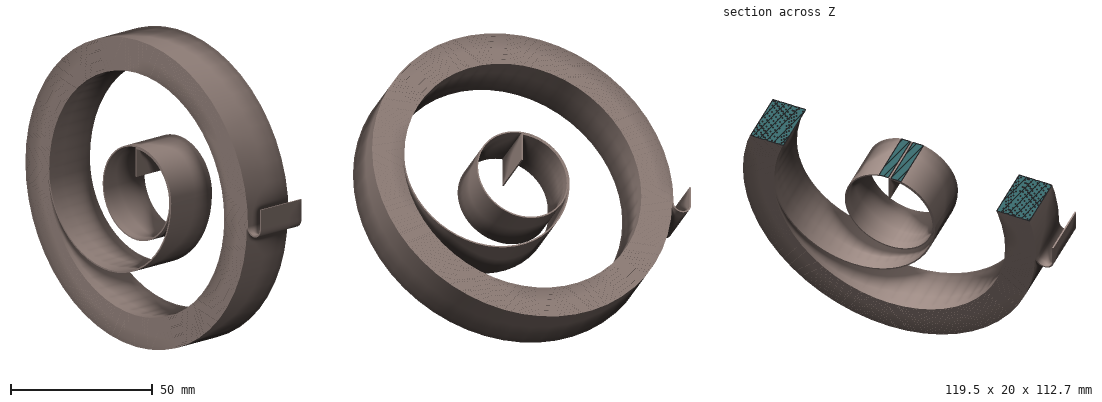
import cadquery as cq
import math


STRIP_WIDTH = 20.0
TURN_PITCH = 0.55
TURN_CLEARANCE = 0.01
STRIP_THICKNESS = TURN_PITCH - TURN_CLEARANCE

OVERALL_LENGTH = 119.5
COIL_HEIGHT = 112.7

RING_START_RADIUS = 16.7
TANG_LENGTH = 10.8

COIL_TURNS = 22

HOOK_LEG_LENGTH = 7.2

LEFT, DOWN, RIGHT, UP = math.pi, -math.pi / 2, 0.0, math.pi / 2

half_thickness = STRIP_THICKNESS / 2
half_pitch = TURN_PITCH / 2
coil_outer_radius = (COIL_HEIGHT + half_pitch) / 2
coil_last_radius = coil_outer_radius - half_thickness
coil_first_radius = coil_last_radius - (COIL_TURNS - 1) * TURN_PITCH
hook_radius = (OVERALL_LENGTH - 2 * coil_outer_radius) / 2


def arc(center_x, center_z, radius, start, end):
    """A centreline arc from angle start to angle end; it runs clockwise when end < start."""
    return {"center": (center_x, center_z), "radius": radius, "angles": (start, (start + end) / 2, end)}


def clockwise(center_x, center_z, radius, start, sweep):
    return arc(center_x, center_z, radius, start, start - sweep)


def ring_arcs():
    """The ring: a right half, a left half half a pitch larger, then a quarter on top of the first half."""
    left_radius = RING_START_RADIUS + half_pitch
    quarter_radius = left_radius + half_pitch
    return [
        clockwise(0, 0, RING_START_RADIUS, UP, math.pi),
        clockwise(0, half_pitch, left_radius, DOWN, math.pi),
        clockwise(0, 0, quarter_radius, UP, math.pi / 2),
    ]


def lead_arc():
    """The lower half circle that carries the strip from the right of the ring to the left of the coil."""
    start_x = RING_START_RADIUS + TURN_PITCH
    end_x = -coil_first_radius
    return clockwise((start_x + end_x) / 2, 0, (start_x - end_x) / 2, RIGHT, math.pi)


def coil_arcs():
    """Upper half turns about the origin, joined by lower half turns half a pitch larger."""
    arcs = []
    for turn in range(COIL_TURNS):
        radius = coil_first_radius + turn * TURN_PITCH
        arcs.append(clockwise(0, 0, radius, LEFT, math.pi))
        if turn < COIL_TURNS - 1:
            arcs.append(clockwise(-half_pitch, 0, radius + half_pitch, RIGHT, math.pi))
    return arcs


def hook_arc():
    """The half circle that turns the end of the coil upwards again."""
    return arc(coil_last_radius + hook_radius, 0, hook_radius, LEFT, LEFT + math.pi)


def side_points(curve, offset):
    """Start, middle and end of an arc, moved to the left of its direction of travel by offset."""
    center_x, center_z = curve["center"]
    start, middle, end = curve["angles"]
    outward = offset if end < start else -offset
    radius = curve["radius"] + outward
    return [
        (center_x + radius * math.cos(angle), center_z + radius * math.sin(angle))
        for angle in (start, middle, end)
    ]


def strip():
    """The whole strip from the tip of the tang to the tip of the hook."""
    arcs = ring_arcs() + [lead_arc()] + coil_arcs() + [hook_arc()]
    left_side = [side_points(curve, half_thickness) for curve in arcs]
    right_side = [side_points(curve, -half_thickness) for curve in arcs]

    ring_top = RING_START_RADIUS + half_thickness
    tang_tip = ring_top - TANG_LENGTH

    outline = cq.Workplane("XZ").moveTo(-STRIP_THICKNESS, tang_tip)
    outline = outline.lineTo(-STRIP_THICKNESS, ring_top)
    outline = outline.lineTo(*left_side[0][0])
    for _, middle, end in left_side:
        outline = outline.threePointArc(middle, end)

    outline = outline.line(0, HOOK_LEG_LENGTH)
    outline = outline.line(STRIP_THICKNESS, 0)
    outline = outline.line(0, -HOOK_LEG_LENGTH)

    for start, middle, _ in reversed(right_side):
        outline = outline.threePointArc(middle, start)
    outline = outline.lineTo(0, tang_tip)
    return outline.close().extrude(STRIP_WIDTH)


result = strip()